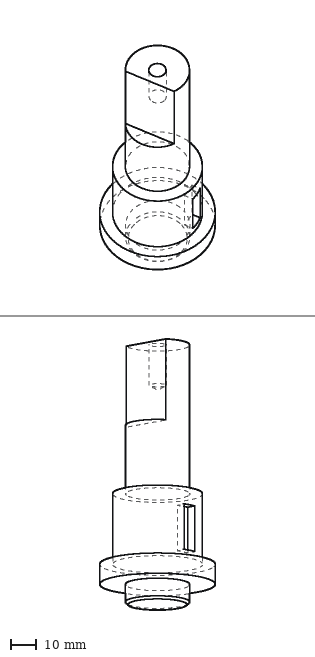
import cadquery as cq
import math

total_length = 103.0
spigot_length = 8.0
flange_thickness = 8.0
collar_length = 27.9
flat_length = 32.0

shaft_diameter = 25.0
collar_diameter = 35.0
flange_diameter = 45.0

end_chamfer = 1.0

flat_offset = 6.4

hole_diameter = 6.7
hole_depth = 16.0
drill_point_angle = 118.0

keyway_width = 6.0
keyway_length = 18.0
keyway_depth = 4.0
keyway_start = 3.1

flange_top = spigot_length + flange_thickness


def cylinder(diameter, base, height):
    return cq.Workplane("XY").workplane(offset=base).circle(diameter / 2).extrude(height)


def stepped_shaft():
    shaft = cylinder(shaft_diameter, 0, total_length).faces("<Z").chamfer(end_chamfer)
    flange = cylinder(flange_diameter, spigot_length, flange_thickness)
    collar = cylinder(collar_diameter, flange_top, collar_length)
    return shaft.union(flange).union(collar)


def flat_cutter():
    centre_y = -flat_offset - shaft_diameter / 2
    return (
        cq.Workplane("XY", origin=(0, centre_y, total_length - flat_length))
        .rect(shaft_diameter, shaft_diameter)
        .extrude(flat_length)
    )


def drilled_hole_cutter():
    radius = hole_diameter / 2
    wall_end = total_length - hole_depth
    tip = wall_end - radius / math.tan(math.radians(drill_point_angle / 2))
    return (
        cq.Workplane("XZ")
        .moveTo(0, total_length)
        .lineTo(radius, total_length)
        .lineTo(radius, wall_end)
        .lineTo(0, tip)
        .close()
        .revolve(360, (0, 0), (0, 1))
    )


def keyway_cutter():
    floor = collar_diameter / 2 - keyway_depth
    middle = flange_top + keyway_start + keyway_length / 2
    return (
        cq.Workplane("YZ", origin=(floor, 0, middle))
        .rect(keyway_width, keyway_length)
        .extrude(keyway_depth)
    )


result = (
    stepped_shaft()
    .cut(flat_cutter())
    .cut(drilled_hole_cutter())
    .cut(keyway_cutter())
)